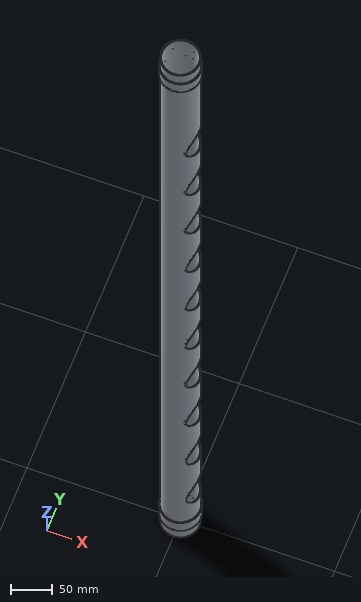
import cadquery as cq

tube_length = 1200.0
tube_diameter = 50.0
bore_diameter = 47.0

collar_diameter = 53.0
collar_height = 20.0
collar_end_gap = 20.0

hole_diameter = 40.0
hole_tilt = 35.0
hole_axis_drop = 15.0
hole_count = 10
hole_pitch = 100.0
lowest_hole_height = 100.0
hole_reach = 2 * tube_diameter


def cylinder(diameter, height, base_height):
    """Upright cylinder on the Z axis, starting at base_height."""
    return cq.Workplane("XY", origin=(0, 0, base_height)).circle(diameter / 2).extrude(height)


def side_hole(height):
    """Tilted cutter from the tube axis up and out through the +X wall."""
    cutter = cq.Workplane("YZ").circle(hole_diameter / 2).extrude(hole_reach)
    cutter = cutter.rotate((0, 0, 0), (0, 1, 0), -hole_tilt)
    return cutter.translate((0, 0, height - hole_axis_drop))


body = cylinder(tube_diameter, tube_length, 0)

upper_collar_base = tube_length - collar_end_gap - collar_height
for collar_base in (collar_end_gap, upper_collar_base):
    body = body.union(cylinder(collar_diameter, collar_height, collar_base))

body = body.cut(cylinder(bore_diameter, tube_length, 0))

for index in range(hole_count):
    body = body.cut(side_hole(lowest_hole_height + index * hole_pitch))

result = body